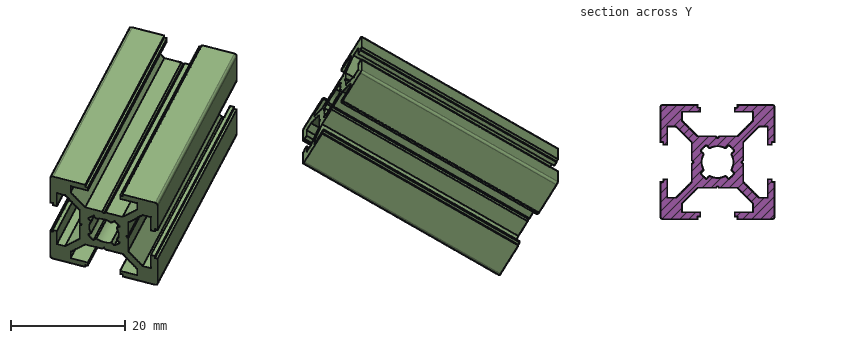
import cadquery as cq

LENGTH = 40.0
SIDE = 20.0
HALF_SIDE = SIDE / 2
CORNER_RADIUS = 0.5

SLOT_HALF_WIDTH = 3.0
LIP_STEP_WIDTH = 0.5
LIP_STEP_DEPTH = 0.5
LIP_THICKNESS = 1.25
CAVITY_HALF_WIDTH = 6.2

CORE_HALF_SIDE = 4.5
RIB_OFFSET = 1.05

GROOVE_HALF_WIDTH = 0.3
GROOVE_DEPTH = 0.3

BORE_RADIUS = 2.75
LOBE_OUTER_RADIUS = 3.5
LOBE_WIDTH = 1.4

NUM_SIDES = 4
QUARTER_TURN = 360 / NUM_SIDES


def section():
    """Sketch plane for the profile, centred on the length of the part."""
    return cq.Workplane("XZ", origin=(0, LENGTH / 2, 0))


def t_slot_cutter():
    """Solid filling the upper T-slot, including the lip steps and the floor groove."""
    mouth_half_width = SLOT_HALF_WIDTH + LIP_STEP_WIDTH
    step_height = HALF_SIDE - LIP_STEP_DEPTH
    cavity_top = HALF_SIDE - LIP_THICKNESS
    right_half = [
        (mouth_half_width, HALF_SIDE),
        (mouth_half_width, step_height),
        (SLOT_HALF_WIDTH, step_height),
        (SLOT_HALF_WIDTH, cavity_top),
        (CAVITY_HALF_WIDTH, cavity_top),
        (CAVITY_HALF_WIDTH, CAVITY_HALF_WIDTH + RIB_OFFSET),
        (CORE_HALF_SIDE - RIB_OFFSET, CORE_HALF_SIDE),
        (GROOVE_HALF_WIDTH, CORE_HALF_SIDE),
    ]
    groove_bottom = (0, CORE_HALF_SIDE - GROOVE_DEPTH)
    left_half = [(-x, z) for x, z in reversed(right_half)]
    return section().polyline(right_half + [groove_bottom] + left_half).close().extrude(LENGTH)


def bore_cutter():
    """Round bore plus two crossed diagonal bars clipped to the lobe radius."""
    lobes = section().rect(2 * LOBE_OUTER_RADIUS, LOBE_WIDTH).extrude(LENGTH)
    lobes = lobes.union(section().rect(LOBE_WIDTH, 2 * LOBE_OUTER_RADIUS).extrude(LENGTH))
    lobes = lobes.intersect(section().circle(LOBE_OUTER_RADIUS).extrude(LENGTH))
    lobes = lobes.rotate((0, 0, 0), (0, 1, 0), QUARTER_TURN / 2)
    return lobes.union(section().circle(BORE_RADIUS).extrude(LENGTH))


result = section().rect(SIDE, SIDE).extrude(LENGTH).edges("|Y").fillet(CORNER_RADIUS)

slot = t_slot_cutter()
for i in range(NUM_SIDES):
    result = result.cut(slot.rotate((0, 0, 0), (0, 1, 0), i * QUARTER_TURN))

result = result.cut(bore_cutter())